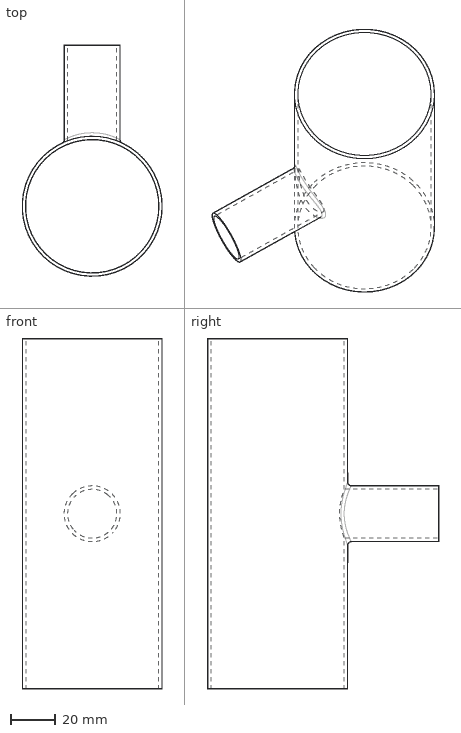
import cadquery as cq

pipe_length = 158.8
pipe_outer_diameter = 63.5
pipe_wall = 1.6
pipe_outer_radius = pipe_outer_diameter / 2
pipe_bore_radius = pipe_outer_radius - pipe_wall

branch_outer_diameter = 25.4
branch_wall = 1.6
branch_end_y = 73.0
branch_outer_radius = branch_outer_diameter / 2
branch_bore_radius = branch_outer_radius - branch_wall

junction_fillet = 1.6


def upright_cylinder(radius):
    return cq.Workplane("XY").circle(radius).extrude(pipe_length / 2, both=True)


def branch_cylinder(radius):
    """Cylinder from the main pipe axis to the open end of the branch."""
    return cq.Workplane("XZ").circle(radius).extrude(-branch_end_y)


outside = upright_cylinder(pipe_outer_radius).union(branch_cylinder(branch_outer_radius))
seam_reach = branch_outer_radius + junction_fillet
seam_box = cq.selectors.BoxSelector(
    (-seam_reach, 0, -seam_reach),
    (seam_reach, pipe_outer_radius + junction_fillet, seam_reach),
    boundingbox=True,
)
outside = outside.edges(seam_box).fillet(junction_fillet)

result = outside.cut(upright_cylinder(pipe_bore_radius)).cut(branch_cylinder(branch_bore_radius))